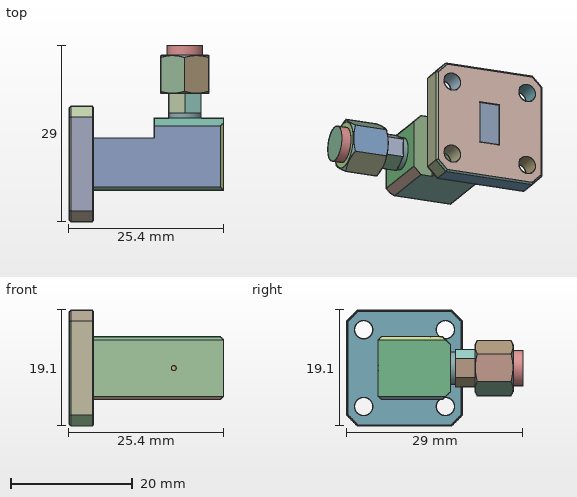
import cadquery as cq
import math


flange_size = 19.05
flange_thickness = 4.0
flange_corner_chamfer = 1.77
flange_front_chamfer = 0.3
flange_back_chamfer = 0.2
bolt_hole_diameter = 2.95
bolt_spacing_y = 13.45
bolt_spacing_z = 12.63

opening_width = 3.57
opening_height = 7.03
opening_depth = 0.3

body_end_x = 25.4
body_height = 10.35
body_bottom_y = -4.33
neck_top_y = 4.3
block_start_x = 13.95
block_top_y = 7.52
body_chamfer = 0.55
block_top_chamfer = 1.28

pin_hole_x = 17.21
pin_hole_diameter = 0.8
pin_hole_depth = 0.2

connector_x = 19.01
collar_end_y = 8.4
nut_start_y = 11.58
nut_end_y = 17.88
overall_length_y = 29.03
connector_end_y = overall_length_y - flange_size / 2
collar_diameter = 5.35
sleeve_diameter = 5.85
nut_across_corners = 9.12
nut_turn = 1.0
nut_face_diameter = 7.65
nut_bevel_angle = 27.0


def y_plane(y, x):
    """Sketch plane facing +Y, with its origin on the given X and Y."""
    return cq.Workplane(cq.Plane(origin=(x, y, 0), xDir=(1, 0, 0), normal=(0, 1, 0)))


def make_flange():
    flange = (
        cq.Workplane("YZ")
        .rect(flange_size, flange_size)
        .extrude(flange_thickness)
        .edges("|X")
        .chamfer(flange_corner_chamfer)
        .faces("<X")
        .chamfer(flange_front_chamfer)
        .faces(">X")
        .chamfer(flange_back_chamfer)
    )
    bolt_holes = (
        cq.Workplane("YZ")
        .rect(bolt_spacing_y, bolt_spacing_z, forConstruction=True)
        .vertices()
        .circle(bolt_hole_diameter / 2)
        .extrude(flange_thickness)
    )
    opening = cq.Workplane("YZ").rect(opening_width, opening_height).extrude(opening_depth)
    return flange.cut(bolt_holes).cut(opening)


def make_body():
    outline = [
        (flange_thickness, body_bottom_y),
        (body_end_x, body_bottom_y),
        (body_end_x, block_top_y),
        (block_start_x, block_top_y),
        (block_start_x, neck_top_y),
        (flange_thickness, neck_top_y),
    ]
    body = cq.Workplane("XY").polyline(outline).close().extrude(body_height / 2, both=True)

    chamfered_block = (
        cq.Workplane("YZ")
        .center((body_bottom_y + block_top_y) / 2, 0)
        .rect(block_top_y - body_bottom_y, body_height)
        .extrude(body_end_x)
        .edges("|X and <Y")
        .chamfer(body_chamfer)
        .edges("|X and >Y")
        .chamfer(block_top_chamfer)
        .edges("|Y and >X")
        .chamfer(body_chamfer)
    )
    return body.intersect(chamfered_block)


def make_hexagon(start_y, end_y, across_corners, turn=0):
    """Hexagonal bar on the connector axis with corners at top and bottom."""
    upright = 90
    return (
        y_plane(start_y, connector_x)
        .transformed(rotate=(0, 0, upright - turn))
        .polygon(6, across_corners)
        .extrude(end_y - start_y)
    )


def make_cylinder(start_y, end_y, diameter):
    return y_plane(start_y, connector_x).circle(diameter / 2).extrude(end_y - start_y)


def make_nut():
    corner_radius = nut_across_corners / 2
    face_radius = nut_face_diameter / 2
    bevel_length = (corner_radius - face_radius) * math.tan(math.radians(nut_bevel_angle))
    bevelled_disc = (
        cq.Workplane("XY", origin=(connector_x, 0, 0))
        .moveTo(0, nut_start_y)
        .lineTo(face_radius, nut_start_y)
        .lineTo(corner_radius, nut_start_y + bevel_length)
        .lineTo(corner_radius, nut_end_y - bevel_length)
        .lineTo(face_radius, nut_end_y)
        .lineTo(0, nut_end_y)
        .close()
        .revolve(360, (0, 0, 0), (0, 1, 0))
    )
    return make_hexagon(nut_start_y, nut_end_y, nut_across_corners, nut_turn).intersect(bevelled_disc)


def make_connector():
    collar = make_cylinder(block_top_y, collar_end_y, collar_diameter)
    shank_across_corners = collar_diameter / math.cos(math.radians(30))
    shank = make_hexagon(collar_end_y, nut_start_y, shank_across_corners)
    sleeve = make_cylinder(nut_end_y, connector_end_y, sleeve_diameter)
    return collar.union(shank).union(make_nut()).union(sleeve)


def make_pin_hole():
    return y_plane(body_bottom_y, pin_hole_x).circle(pin_hole_diameter / 2).extrude(pin_hole_depth)


result = make_flange().union(make_body()).union(make_connector()).cut(make_pin_hole())